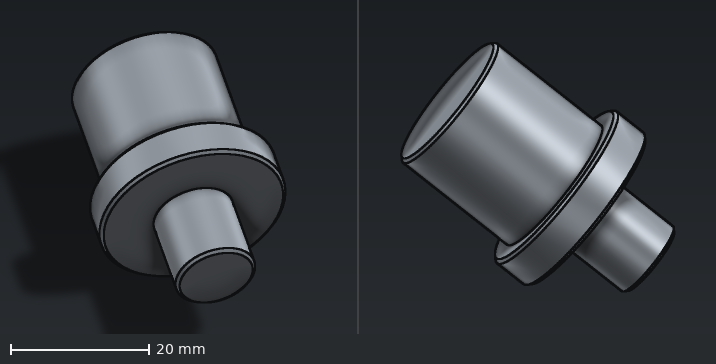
import cadquery as cq

BODY_DIAMETER = 22.0
BODY_LENGTH = 20.0
COLLAR_DIAMETER = 28.0
COLLAR_LENGTH = 6.0
SHANK_DIAMETER = 12.0
SHANK_LENGTH = 12.0
EDGE_CHAMFER = 0.5

COLLAR_START = BODY_LENGTH
SHANK_START = COLLAR_START + COLLAR_LENGTH


def cylinder_along_x(start, length, diameter):
    """Cylinder on the X axis running from start towards +X."""
    return cq.Workplane("YZ").workplane(offset=start).circle(diameter / 2).extrude(length)


def make_body():
    """Large pin, chamfered at its free end."""
    body = cylinder_along_x(0, BODY_LENGTH, BODY_DIAMETER)
    return body.faces("<X").edges().chamfer(EDGE_CHAMFER)


def make_collar():
    """Collar disc, chamfered on both rims."""
    collar = cylinder_along_x(COLLAR_START, COLLAR_LENGTH, COLLAR_DIAMETER)
    return collar.faces("<X or >X").edges().chamfer(EDGE_CHAMFER)


def make_shank():
    """Thin shank, chamfered at its free end."""
    shank = cylinder_along_x(SHANK_START, SHANK_LENGTH, SHANK_DIAMETER)
    return shank.faces(">X").edges().chamfer(EDGE_CHAMFER)


result = make_body().union(make_collar()).union(make_shank())